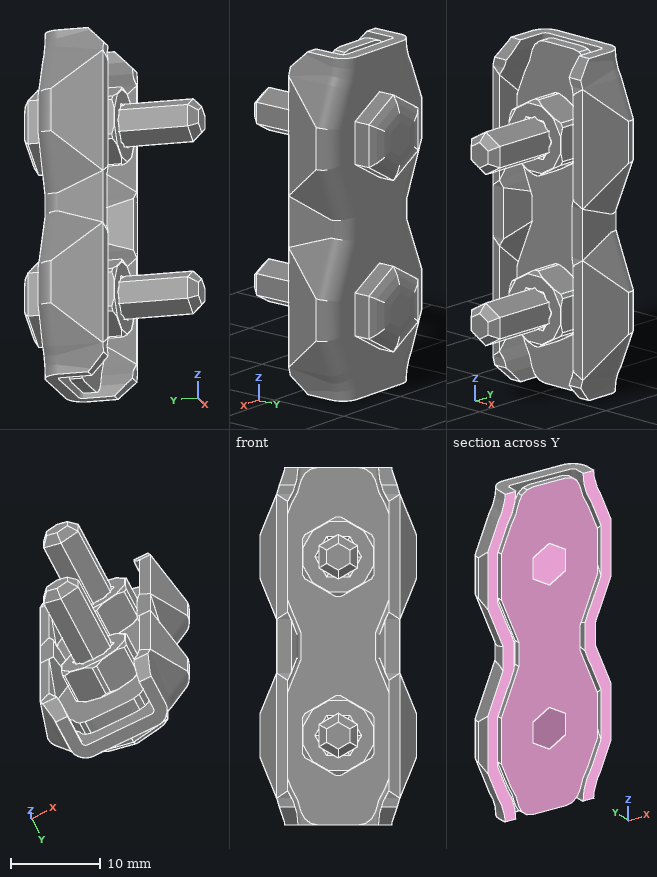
import cadquery as cq
import math


half_length = 20.0
bolt_z = half_length / 2

sheet = 1.5
bend_radius = 2.0
inner_bend_radius = bend_radius - sheet
leg_y = -7.5
lip_drop = 0.25
lip_y = leg_y - lip_drop
leg_corner_cut = 2.0

waist_x = 6.0
crown_x = 9.0
neck_half = 3.0
foot_x = waist_x + (crown_x - waist_x) * neck_half / bolt_z
bulge_half = bolt_z - neck_half
inner_neck_foot_x = 5.25

plate_gap = 1.0
plate_thickness = 1.5
plate_inset = 2.0
plate_half_width = 6.5
plate_corner_radius = 2.0
plate_back_y = -sheet - plate_gap
plate_front_y = plate_back_y - plate_thickness

shank_radius = 2.5
shank_length = 17.0
tip_chamfer = 1.0
head_radius = 5.0
head_height = 3.0
dome_height = 1.0
dome_flat_radius = 2.0

nut_across_flats = 8.0
nut_height = 4.0
nut_trim_sides = 12
nut_trim_half_width = 4.46
nut_face_half_width = 3.93
nut_chamfer_depth = 0.3
countersink_radius = 2.6
countersink_depth = 0.5

arc_facets = 3


def arc_radius(half_chord, rise):
    return (half_chord ** 2 + rise ** 2) / (2 * rise)


neck_radius = arc_radius(neck_half, foot_x - waist_x)
bulge_radius = arc_radius(bulge_half, crown_x - foot_x)
turn_angle = math.asin(neck_half / neck_radius)



def neck_point(inset, angle):
    """Point on the hollow arc, with Z measured from the waist."""
    radius = neck_radius + inset
    return waist_x - inset + radius * (1 - math.cos(angle)), radius * math.sin(angle)


def bulge_point(inset, angle):
    """Point on the bulging arc, with Z measured from the bolt axis."""
    radius = bulge_radius - inset
    return crown_x - inset - radius * (1 - math.cos(angle)), radius * math.sin(angle)


def end_points(inset):
    """Hollow half arc from just past the bulge up to the end of the channel."""
    step = turn_angle / arc_facets
    hollow = [neck_point(inset, step * i) for i in range(arc_facets - 1, -1, -1)]
    return [(x, half_length - z) for x, z in hollow]


def full_outline(inset):
    """Upper right side outline with the neck hollow and the bulge."""
    bulge_steps = [turn_angle * k for k in (-1, -1 / arc_facets, 1 / arc_facets, 1)]
    bulge = [bulge_point(inset, a) for a in bulge_steps]
    neck = [neck_point(inset, turn_angle / arc_facets)]
    return neck + [(x, z + bolt_z) for x, z in bulge] + end_points(inset)


def straight_outline(inset, neck_foot_x, ends):
    """Upper right side outline along the front edge, where neck and bulge are straight.

    The points in ends close it at the end of the channel.
    """
    foot, half = bulge_point(inset, turn_angle)
    neck = [(neck_foot_x, neck_half)] if neck_foot_x < foot else []
    return neck + [(foot, bolt_z - half), (foot, bolt_z + half)] + ends


def slab(outline, back_y, front_y):
    """Mirror an upper right outline to all four quarters and extrude it from back_y to front_y."""
    right = [(x, -z) for x, z in reversed(outline)] + outline
    left = [(-x, z) for x, z in reversed(right)]
    plane = cq.Workplane("XZ", origin=(0, back_y, 0))
    return plane.polyline(right + left).close().extrude(back_y - front_y)


def rounded_slab(outline, back_y, radius):
    """Slab as deep as its edge radius, with the long back edges rounded."""
    deep = slab(outline, back_y, back_y - 2 * radius)
    rounded = deep.faces(">Y").edges("not(|X)").fillet(radius)
    trim = slab([(2 * crown_x, half_length)], back_y, back_y - radius)
    return rounded.intersect(trim)



def faceted_solid(outlines):
    """Solid bounded by flat faces, each given by its corner points."""
    faces = []
    for outline in outlines:
        corners = [cq.Vector(*point) for point in outline]
        faces.append(cq.Face.makeFromWires(cq.Wire.makePolygon(corners, close=True)))
    return cq.Workplane(obj=cq.Solid.makeSolid(cq.Shell.makeShell(faces)))


def hip(eave, ridge, front, z_mid):
    """Hip-roof solid: a trapezoid from eave to ridge, drawn to the line front.

    Each argument holds (x, y, half length in Z) of one edge parallel to Z.
    """
    (e0, e1), (r0, r1), (f0, f1) = [
        [(x, y, z_mid - half), (x, y, z_mid + half)] for x, y, half in (eave, ridge, front)
    ]
    return faceted_solid([
        (e0, e1, r1, r0),
        (e0, e1, f1, f0),
        (r0, r1, f1, f0),
        (e0, r0, f0),
        (e1, r1, f1),
    ])


def end_hollow():
    """Solid between the hollow arc at the bend and its straight chord, fading out at the front edge."""
    arc = [(foot_x, bolt_z + bulge_half)] + end_points(0)
    foot, lower, upper, end = [(x, -bend_radius, z) for x, z in arc]
    front_foot, front_end = [(x, leg_y, z) for x, z in (arc[0], arc[-1])]
    return faceted_solid([
        (foot, lower, upper, end),
        (foot, end, front_end, front_foot),
        (foot, lower, front_foot),
        (lower, upper, front_foot),
        (upper, front_end, front_foot),
        (upper, end, front_end),
    ])


def both_sides(solid):
    return [solid, solid.mirror("YZ")]


def channel_form(inset, neck_foot_x, ends, back_y, radius, front_y):
    """Solid bounded by one skin of the channel, either the outer or the inner one."""
    base_y = -bend_radius
    form = rounded_slab(full_outline(inset), back_y, radius)
    form = form.union(slab(straight_outline(inset, neck_foot_x, ends), base_y, front_y))

    foot, foot_half = bulge_point(inset, turn_angle)
    crown, crown_half = bulge_point(inset, turn_angle / arc_facets)
    for z_mid in (-bolt_z, bolt_z):
        bulge = hip((foot, base_y, foot_half), (crown, base_y, crown_half),
                    (foot, front_y, foot_half), z_mid)
        for solid in both_sides(bulge):
            form = form.union(solid)

    waist, waist_half = neck_point(inset, turn_angle / arc_facets)
    hollow = hip((neck_foot_x, base_y, neck_half), (waist, base_y, waist_half),
                 (neck_foot_x, leg_y, neck_half), 0)
    for solid in both_sides(hollow):
        form = form.cut(solid)
    return form


def add_lips(form):
    """Slanted front faces of the bulges, lowest at the inner edge."""
    ridge_x, ridge_half = bulge_point(sheet, turn_angle)
    for z_mid in (-bolt_z, bolt_z):
        lip = hip((foot_x, leg_y, bulge_half), (inner_neck_foot_x, leg_y, bulge_half),
                  (ridge_x, lip_y, ridge_half), z_mid)
        for solid in both_sides(lip):
            form = form.union(solid)
    return form


def leg_corner_cuts():
    """Triangular prisms that bevel the front corners of the legs at both ends."""
    corner = [
        (leg_y, half_length),
        (leg_y + leg_corner_cut, half_length),
        (leg_y, half_length - leg_corner_cut),
    ]
    upper = cq.Workplane("YZ").polyline(corner).close().extrude(crown_x, both=True)
    return upper.union(upper.mirror("XY"))



def ring(sides, radius, y, first_angle):
    """Closed regular polygon across the Y axis."""
    angles = [math.radians(first_angle + 360 / sides * i) for i in range(sides)]
    points = [cq.Vector(radius * math.cos(a), y, radius * math.sin(a)) for a in angles]
    return cq.Wire.makePolygon(points, close=True)


def polygon_stack(sides, rings, first_angle):
    """Solid through coaxial regular polygons, given as (corner radius, y) in order."""
    wires = [ring(sides, radius, y, first_angle) for radius, y in rings]
    return cq.Workplane(obj=cq.Solid.makeLoft(wires, True))


def hex_stack(rings, first_angle):
    return polygon_stack(6, rings, first_angle)


POINT_ON_X = 0
POINT_ON_Z = 30


def make_shank():
    tip = (shank_radius - tip_chamfer, -shank_length)
    return hex_stack([(shank_radius, 0), (shank_radius, -shank_length + tip_chamfer), tip], POINT_ON_Z)


def make_bolt():
    """Hexagonal head with a faceted dome, and a tapered hexagonal shank."""
    radius = arc_radius(head_radius - dome_flat_radius, dome_height)
    sweep = math.asin((head_radius - dome_flat_radius) / radius)
    dome = []
    for i in range(arc_facets, -1, -1):
        angle = sweep * i / arc_facets
        drop = radius * (1 - math.cos(angle))
        dome.append((dome_flat_radius + radius * math.sin(angle), head_height - drop))
    head = hex_stack([(head_radius, 0)] + dome, POINT_ON_Z)
    return head.union(make_shank())


def make_nut():
    """Hexagon nut with trimmed, chamfered corners and a hexagonal countersink at both ends of the bore."""
    back_y = plate_front_y
    front_y = back_y - nut_height
    half_step = math.pi / nut_trim_sides
    face_radius = nut_face_half_width / math.cos(half_step)
    trim_radius = nut_trim_half_width / math.cos(half_step)
    trim = polygon_stack(
        nut_trim_sides,
        [
            (face_radius, back_y),
            (trim_radius, back_y - nut_chamfer_depth),
            (trim_radius, front_y + nut_chamfer_depth),
            (face_radius, front_y),
        ],
        math.degrees(half_step),
    )
    corner = nut_across_flats / math.sqrt(3)
    nut = trim.intersect(hex_stack([(corner, back_y), (corner, front_y)], POINT_ON_Z))
    bottom_radius = countersink_radius - countersink_depth
    for face_y, inward in ((back_y, -1), (front_y, 1)):
        rings = [(countersink_radius, face_y), (bottom_radius, face_y + inward * countersink_depth)]
        nut = nut.cut(hex_stack(rings, POINT_ON_X))
    return nut.cut(make_shank())



def at_bolts(solid):
    return [solid.translate((0, 0, z)) for z in (-bolt_z, bolt_z)]


def make_channel():
    straight_end = [(waist_x, half_length)]
    outer = channel_form(0, foot_x, straight_end, 0, bend_radius, leg_y)
    for upper in both_sides(end_hollow()):
        outer = outer.cut(upper).cut(upper.mirror("XY"))
    outer = add_lips(outer)
    inner = channel_form(sheet, inner_neck_foot_x, end_points(sheet), -sheet, inner_bend_radius, lip_y)
    channel = outer.cut(inner).cut(leg_corner_cuts())
    for shank in at_bolts(make_shank()):
        channel = channel.cut(shank)
    return channel


def plate_outline():
    """Side outline of the plate, closed at the end by a faceted round corner."""
    side = full_outline(plate_inset)[:-1]
    side_x, side_z = side[-1]
    sweep = math.acos(1 - (half_length - side_z) / plate_corner_radius)
    centre_x = side_x - plate_corner_radius * math.sin(sweep)
    centre_z = half_length - plate_corner_radius
    corner = []
    for i in range(arc_facets - 1, -1, -1):
        angle = sweep * i / arc_facets
        x = centre_x + plate_corner_radius * math.sin(angle)
        corner.append((x, centre_z + plate_corner_radius * math.cos(angle)))
    return side + corner


def make_plate():
    plate = slab(plate_outline(), plate_back_y, plate_front_y)
    width_limit = slab([(plate_half_width, half_length)], plate_back_y, plate_front_y)
    plate = plate.intersect(width_limit)
    for shank in at_bolts(make_shank()):
        plate = plate.cut(shank)
    return plate


channel = make_channel()
plate = make_plate()
bolts = at_bolts(make_bolt())
nuts = at_bolts(make_nut())

bodies = [channel, plate] + bolts + nuts
result = cq.Compound.makeCompound([body.solids().val() for body in bodies])